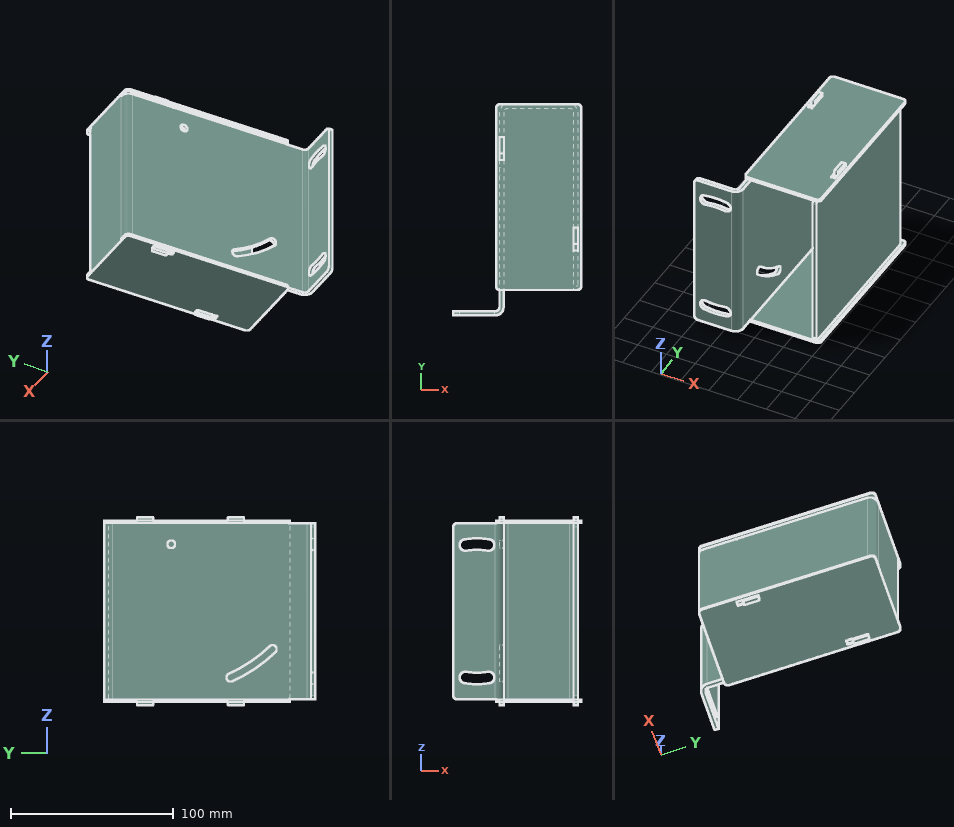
import cadquery as cq
import math

overall_width = 78.77
overall_depth = 129.79
overall_height = 115.57

sheet = 2.66
bend_inner = sheet
bend_outer = bend_inner + sheet
channel_width = 48.26
corner_radius = 2.54

plate_width = 52.4
plate_depth = 114.3
plate_thickness = 1.52
tab_rise = 2.16

plate_outer_z = overall_height / 2 - tab_rise
wall_top = plate_outer_z - plate_thickness
wall_height = 2 * wall_top
plate_left = overall_width - plate_width
plate_front = overall_depth - plate_depth
plate_center_x = plate_left + plate_width / 2
plate_center_y = plate_front + plate_depth / 2

wall_left = plate_center_x - channel_width / 2
wall_right = wall_left + channel_width
left_inner = wall_left + sheet
right_inner = wall_right - sheet

tab_length = 10.16
tab_slot_length = 14.1
tab_corner_radius = 0.8
left_tab_back = 109.6
right_tab_back = 53.9

pivot_y = 88.5
pivot_z = 41.1
pivot_diameter = 4.8
pivot_slot_radius = 89.5
pivot_slot_width = 5.08
pivot_slot_start = -134.0
pivot_slot_end = -114.0

flange_slot_x = 14.7
flange_slot_radius = 41.275
flange_slot_width = 6.9
flange_slot_half_angle = 10.0


def polar(center, radius, angle):
    """Point at an angle in degrees on a circle."""
    turn = math.radians(angle)
    return (center[0] + radius * math.cos(turn), center[1] + radius * math.sin(turn))


def arc_slot(plane, center, radius, width, start, end, depth):
    """Round-ended slot along an arc, extruded along the plane normal."""
    inner = radius - width / 2
    outer = radius + width / 2
    middle = (start + end) / 2
    start_cap = polar(polar(center, radius, start), width / 2, start - 90)
    end_cap = polar(polar(center, radius, end), width / 2, end + 90)
    return (
        cq.Workplane(plane)
        .moveTo(*polar(center, inner, start))
        .threePointArc(polar(center, inner, middle), polar(center, inner, end))
        .threePointArc(end_cap, polar(center, outer, end))
        .threePointArc(polar(center, outer, middle), polar(center, outer, start))
        .threePointArc(start_cap, polar(center, inner, start))
        .close()
        .extrude(depth)
    )


def make_channel():
    """Flange, left wall, back wall and right wall bent from one sheet."""
    back_inner = overall_depth - sheet
    channel = (
        cq.Workplane("XY")
        .workplane(offset=-wall_top)
        .moveTo(0, 0)
        .lineTo(left_inner - bend_outer, 0)
        .radiusArc((left_inner, bend_outer), -bend_outer)
        .lineTo(left_inner, back_inner - bend_inner)
        .radiusArc((left_inner + bend_inner, back_inner), bend_inner)
        .lineTo(right_inner - bend_inner, back_inner)
        .radiusArc((right_inner, back_inner - bend_inner), bend_inner)
        .lineTo(right_inner, plate_front)
        .lineTo(wall_right, plate_front)
        .lineTo(wall_right, overall_depth - bend_outer)
        .radiusArc((wall_right - bend_outer, overall_depth), -bend_outer)
        .lineTo(wall_left + bend_outer, overall_depth)
        .radiusArc((wall_left, overall_depth - bend_outer), -bend_outer)
        .lineTo(wall_left, bend_outer)
        .radiusArc((wall_left - bend_inner, sheet), bend_inner)
        .lineTo(0, sheet)
        .close()
        .extrude(wall_height)
    )
    channel = channel.edges("|Y").edges("<X").fillet(corner_radius)
    right_wall_corners = cq.selectors.BoxSelector(
        (right_inner - sheet, plate_front - sheet, -overall_height),
        (wall_right + sheet, plate_front + sheet, overall_height),
    )
    return channel.edges("|X").edges(right_wall_corners).fillet(corner_radius)


def cut_wall_openings(body):
    """Pivot hole and arc slot through the left wall."""
    pivot = (pivot_y, pivot_z)
    hole = (
        cq.Workplane("YZ", origin=(wall_left, 0, 0))
        .center(*pivot)
        .circle(pivot_diameter / 2)
        .extrude(sheet)
    )
    plane = cq.Plane(origin=(wall_left, 0, 0), xDir=(0, 1, 0), normal=(1, 0, 0))
    slot = arc_slot(
        plane, pivot, pivot_slot_radius, pivot_slot_width, pivot_slot_start, pivot_slot_end, sheet
    )
    return body.cut(hole).cut(slot)


def cut_flange_slots(body):
    """Upper and lower arc slots through the flange."""
    plane = cq.Plane(origin=(0, sheet, 0), xDir=(1, 0, 0), normal=(0, -1, 0))
    for direction in (90, -90):
        slot = arc_slot(
            plane,
            (flange_slot_x, 0),
            flange_slot_radius,
            flange_slot_width,
            direction - flange_slot_half_angle,
            direction + flange_slot_half_angle,
            sheet,
        )
        body = body.cut(slot)
    return body


def make_top_plate():
    """Plate with rounded corners, its two slots and the tabs standing in them."""
    plate = (
        cq.Workplane("XY")
        .box(plate_width, plate_depth, plate_thickness, centered=(True, True, False))
        .edges("|Z")
        .fillet(corner_radius)
        .translate((plate_center_x, plate_center_y, wall_top))
    )
    tab_height = plate_thickness + tab_rise
    for tab_x, tab_back in ((wall_left, left_tab_back), (right_inner, right_tab_back)):
        slot = (
            cq.Workplane("XY")
            .box(sheet, tab_slot_length, plate_thickness, centered=False)
            .translate((tab_x, tab_back - tab_slot_length, wall_top))
        )
        tab = (
            cq.Workplane("XY")
            .box(sheet, tab_length, tab_height, centered=False)
            .edges("|X and >Z")
            .fillet(tab_corner_radius)
            .translate((tab_x, tab_back - tab_length, wall_top))
        )
        plate = plate.cut(slot).union(tab)
    return plate


channel = cut_flange_slots(cut_wall_openings(make_channel()))
top_plate = make_top_plate()
bottom_plate = top_plate.mirror("XY")
result = channel.union(top_plate).union(bottom_plate)